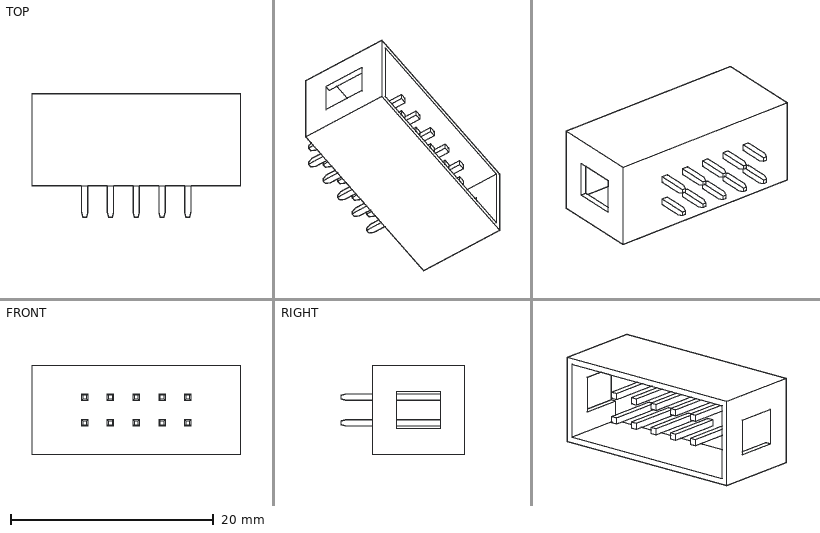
import cadquery as cq

body_length = 20.6
body_depth = 9.1
body_height = 8.8
wall = 0.6
back_wall = 2.4

window_depth = 4.3
window_height = 3.6
window_offset = 2.4

pitch = 2.54
columns = 5
rows = 2
pin_width = 0.64
pin_tip_width = 0.38
pin_taper = 0.5
pin_tail = 3.1
pin_recess = 1.0


def make_housing():
    """Box with a cavity open at +Y and a window in each end wall."""
    cavity_depth = body_depth - back_wall
    body = cq.Workplane("XY").box(body_length, body_depth, body_height, centered=(True, False, True))
    cavity = (
        cq.Workplane("XY")
        .box(
            body_length - 2 * wall,
            cavity_depth,
            body_height - 2 * wall,
            centered=(True, False, True),
        )
        .translate((0, back_wall, 0))
    )
    windows = (
        cq.Workplane("XY")
        .box(body_length, window_depth, window_height, centered=(True, False, True))
        .translate((0, window_offset, 0))
    )
    return body.cut(cavity).cut(windows)


def make_pin():
    """Square pin along Y with a tapered tip at its -Y end."""
    shank_end = pin_taper - pin_tail
    shank_length = body_depth - pin_recess - shank_end
    shank = (
        cq.Workplane("XY")
        .box(pin_width, shank_length, pin_width, centered=(True, False, True))
        .translate((0, shank_end, 0))
    )
    tip = (
        cq.Workplane("XZ", origin=(0, shank_end, 0))
        .rect(pin_width, pin_width)
        .workplane(offset=pin_taper)
        .rect(pin_tip_width, pin_tip_width)
        .loft(ruled=True)
    )
    return shank.union(tip)


result = make_housing()
pin = make_pin()
for column in range(columns):
    for row in range(rows):
        x = (column - (columns - 1) / 2) * pitch
        z = (row - (rows - 1) / 2) * pitch
        result = result.union(pin.translate((x, 0, z)))